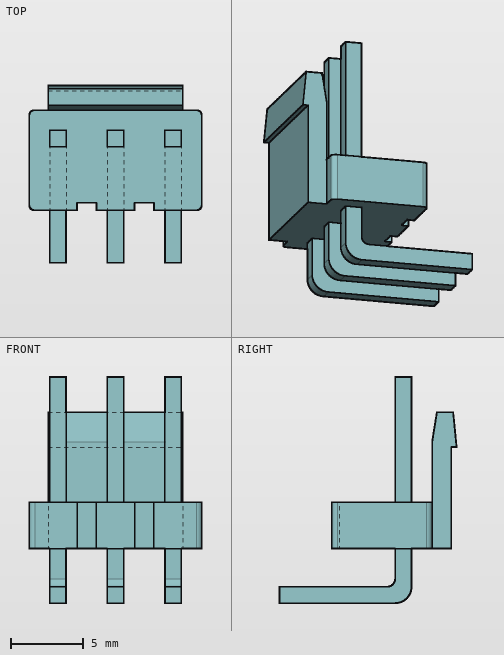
import cadquery as cq

pin_count = 3
pitch = 3.96
pin_size = 1.14
pin_top_z = 11.82
pin_bottom_z = -3.75
pin_tail_y = -8.53
bend_inner_radius = 0.55
bend_outer_radius = 1.14

housing_width = pin_count * pitch
housing_front_y = -4.93
housing_back_y = 1.97
housing_height = 3.2
corner_radius = 0.38

notch_width = 1.32
notch_depth = 0.51

ramp_width = 9.27
ramp_back_y = 3.3
hook_back_y = 3.67
hook_ledge_z = 6.98
bevel_start_z = 7.34
ramp_top_z = 9.39
tip_front_y = 2.3
tip_back_y = 3.43


def centred_positions(count):
    """X positions of a row of items at the pin pitch, centred on X = 0."""
    return [(i - (count - 1) / 2) * pitch for i in range(count)]


def extrude_profile(profile, width, x_centre=0):
    """Extrude a closed YZ profile along X, centred on x_centre."""
    return profile.extrude(width / 2, both=True).translate((x_centre, 0, 0))


def make_housing():
    depth = housing_back_y - housing_front_y
    centre_y = (housing_back_y + housing_front_y) / 2
    block = (
        cq.Workplane("XY")
        .center(0, centre_y)
        .rect(housing_width, depth)
        .extrude(housing_height)
        .edges("|Z")
        .fillet(corner_radius)
    )
    notches = (
        cq.Workplane("XY")
        .pushPoints([(x, housing_front_y) for x in centred_positions(pin_count - 1)])
        .rect(notch_width, 2 * notch_depth)
        .extrude(housing_height)
    )
    return block.cut(notches)


def make_locking_ramp():
    profile = (
        cq.Workplane("YZ")
        .moveTo(housing_back_y, 0)
        .lineTo(ramp_back_y, 0)
        .lineTo(ramp_back_y, hook_ledge_z)
        .lineTo(hook_back_y, hook_ledge_z)
        .lineTo(tip_back_y, ramp_top_z)
        .lineTo(tip_front_y, ramp_top_z)
        .lineTo(housing_back_y, bevel_start_z)
        .close()
    )
    return extrude_profile(profile, ramp_width)


def make_pin(x_centre):
    back_y = pin_size / 2
    front_y = -pin_size / 2
    tail_top_z = pin_bottom_z + pin_size
    profile = (
        cq.Workplane("YZ")
        .moveTo(back_y, pin_top_z)
        .lineTo(back_y, pin_bottom_z + bend_outer_radius)
        .radiusArc((back_y - bend_outer_radius, pin_bottom_z), bend_outer_radius)
        .lineTo(pin_tail_y, pin_bottom_z)
        .lineTo(pin_tail_y, tail_top_z)
        .lineTo(front_y - bend_inner_radius, tail_top_z)
        .radiusArc((front_y, tail_top_z + bend_inner_radius), -bend_inner_radius)
        .lineTo(front_y, pin_top_z)
        .close()
    )
    return extrude_profile(profile, pin_size, x_centre)


result = make_housing().union(make_locking_ramp())
for pin_x in centred_positions(pin_count):
    result = result.union(make_pin(pin_x))